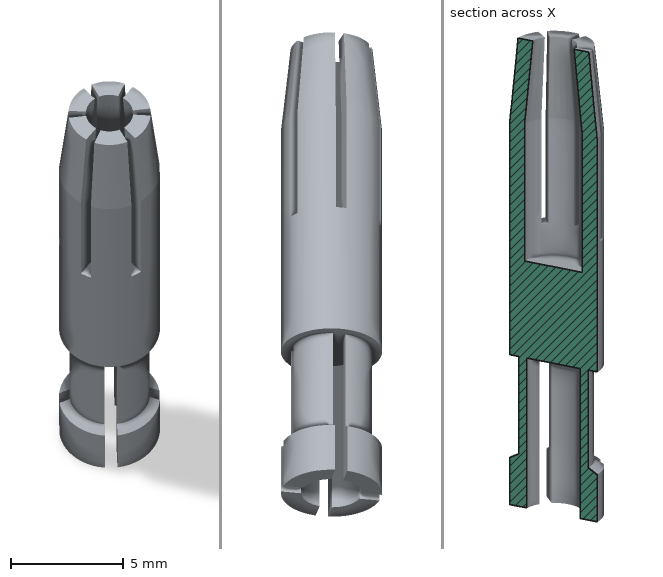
import cadquery as cq
import math

total_length = 22.2
body_radius = 2.25

collar_straight_height = 2.25
collar_height = 2.5
neck_radius = 1.8
shoulder_z = 7.1
crimp_bore_radius = 1.35
crimp_slot_width = 0.55
crimp_slot_angles = (45, 135)

taper_length = 4.0
tip_radius = 1.83
finger_thickness = 0.78
finger_slot_length = 9.0
finger_slot_angle = 12.7
finger_slot_count = 6
first_finger_slot_angle = 45
socket_floor_below_slots = 1.5

taper_z = total_length - taper_length
finger_slot_floor_z = total_length - finger_slot_length
socket_floor_z = finger_slot_floor_z - socket_floor_below_slots

cutter_reach = 2 * body_radius


def make_turned_body():
    """Solid of revolution: collar, neck, barrel and tapered tip."""
    profile = [
        (0, 0),
        (body_radius, 0),
        (body_radius, collar_straight_height),
        (neck_radius, collar_height),
        (neck_radius, shoulder_z),
        (body_radius, shoulder_z),
        (body_radius, taper_z),
        (tip_radius, total_length),
        (0, total_length),
    ]
    return cq.Workplane("XZ").polyline(profile).close().revolve(360, (0, 0), (0, 1))


def make_socket_bore():
    """Bore that follows the outer taper, leaving fingers of even thickness."""
    bore_radius = body_radius - finger_thickness
    mouth_radius = tip_radius - finger_thickness
    profile = [
        (0, socket_floor_z),
        (bore_radius, socket_floor_z),
        (bore_radius, taper_z),
        (mouth_radius, total_length),
        (0, total_length),
    ]
    return cq.Workplane("XZ").polyline(profile).close().revolve(360, (0, 0), (0, 1))


def make_finger_slot(direction):
    """Wedge with radial walls, pointing outward from the axis."""
    half_width = cutter_reach * math.tan(math.radians(finger_slot_angle / 2))
    wedge = (
        cq.Workplane("XY")
        .workplane(offset=finger_slot_floor_z)
        .polyline([(0, 0), (cutter_reach, -half_width), (cutter_reach, half_width)])
        .close()
        .extrude(finger_slot_length)
    )
    return wedge.rotate((0, 0, 0), (0, 0, 1), direction)


def make_crimp_bore():
    """Blind bore from the collar end up to the shoulder."""
    return cq.Workplane("XY").circle(crimp_bore_radius).extrude(shoulder_z)


def make_crimp_slot(direction):
    """Parallel-sided slot running right across the collar and neck."""
    slot = cq.Workplane("XY").rect(2 * cutter_reach, crimp_slot_width).extrude(shoulder_z)
    return slot.rotate((0, 0, 0), (0, 0, 1), direction)


result = make_turned_body().cut(make_socket_bore()).cut(make_crimp_bore())

for slot_index in range(finger_slot_count):
    slot_direction = first_finger_slot_angle + slot_index * 360 / finger_slot_count
    result = result.cut(make_finger_slot(slot_direction))

for slot_direction in crimp_slot_angles:
    result = result.cut(make_crimp_slot(slot_direction))